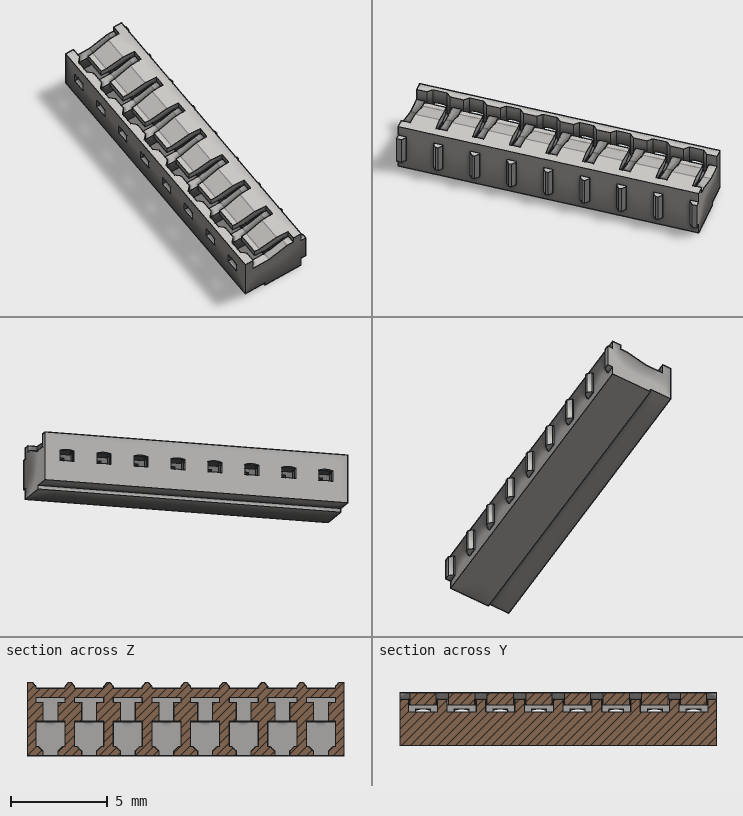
import cadquery as cq

length = 16.4
height = 2.75
circuits = 8
pitch = 2.0
end_margin = (length - circuits * pitch) / 2
rear_y = 3.51
foot_front_y = 1.23
foot_height = 0.2

wall_thickness = 0.5
recess_depth = 0.25
recess_floor_y = wall_thickness - recess_depth
recess_inner_width = 0.77
recess_outer_width = recess_inner_width + 2 * recess_depth

rib_width = 0.51
rib_rear_y = 3.02
rib_slope_rear_y = 2.62
rib_slope_front_y = 1.5
rib_rear_z = 2.41
rib_front_z = 2.07

cavity_width = pitch - rib_width
cavity_floor_z = 1.3
cavity_rear_y = 1.8
lip_front_y = 1.75
lip_top_z = 1.33
ledge_rear_y = 2.77
ledge_rear_z = rib_rear_z
ledge_front_z = 2.1

tongue_front_y = 1.0
tongue_front_z = 2.46
tongue_slope_front_y = 1.3
tongue_slope_rear_y = 2.33
tongue_rear_width = 1.41
tongue_front_width = 1.18

window_width = 0.75
window_bottom_z = cavity_floor_z
window_side_z = 1.84
window_crown_z = 1.9

slot_width = window_width
slot_bottom_z = 1.75
slot_top_z = window_crown_z

peg_width = rib_width
peg_tip_width = 0.15
peg_length = 0.3
peg_straight = 0.08
peg_bottom_z = 0.59
peg_top_z = 2.16


def side_prism(points, x_start, width):
    """Extrude a (Y, Z) outline along +X from x_start."""
    return cq.Workplane("YZ", origin=(x_start, 0, 0)).polyline(points).close().extrude(width)


def plan_prism(points, z_bottom, z_top):
    """Extrude an (X, Y) outline from z_bottom up to z_top."""
    return cq.Workplane("XY", origin=(0, 0, z_bottom)).polyline(points).close().extrude(z_top - z_bottom)


def centred_taper(x_centre, y_front, front_width, y_rear, rear_width):
    """Corners of a plan trapezoid symmetric about x_centre."""
    return [
        (x_centre - front_width / 2, y_front),
        (x_centre + front_width / 2, y_front),
        (x_centre + rear_width / 2, y_rear),
        (x_centre - rear_width / 2, y_rear),
    ]


def make_body():
    """Housing with its top cut down to rib level between the front and rear walls."""
    outline = [
        (0, foot_height),
        (foot_front_y, foot_height),
        (foot_front_y, 0),
        (rear_y, 0),
        (rear_y, height),
        (rib_rear_y, height),
        (rib_rear_y, rib_rear_z),
        (rib_slope_rear_y, rib_rear_z),
        (rib_slope_front_y, rib_front_z),
        (wall_thickness, rib_front_z),
        (wall_thickness, height),
        (0, height),
    ]
    return side_prism(outline, 0, length)


def make_cavity(x_centre):
    """Open cavity, ledge slope, well behind the ledge and front-wall recess of one circuit."""
    outline = [
        (wall_thickness, cavity_floor_z),
        (lip_front_y, cavity_floor_z),
        (lip_front_y, lip_top_z),
        (cavity_rear_y, lip_top_z),
        (cavity_rear_y, ledge_front_z),
        (ledge_rear_y, ledge_rear_z),
        (ledge_rear_y, slot_bottom_z),
        (rib_rear_y, slot_bottom_z),
        (rib_rear_y, height),
        (wall_thickness, height),
    ]
    cavity = side_prism(outline, x_centre - cavity_width / 2, cavity_width)
    recess_plan = centred_taper(
        x_centre,
        recess_floor_y,
        recess_inner_width,
        wall_thickness,
        recess_outer_width,
    )
    return cavity.union(plan_prism(recess_plan, cavity_floor_z, height))


def make_window(x_centre):
    """Arched window from the front face into the recess."""
    half_width = window_width / 2
    return (
        cq.Workplane("XZ", origin=(x_centre, 0, 0))
        .moveTo(-half_width, window_bottom_z)
        .lineTo(half_width, window_bottom_z)
        .lineTo(half_width, window_side_z)
        .threePointArc((0, window_crown_z), (-half_width, window_side_z))
        .close()
        .extrude(-recess_floor_y)
    )


def make_slot(x_centre):
    """Flat slot from the cavity through the ledge into the well."""
    outline = [
        (cavity_rear_y, slot_bottom_z),
        (rib_rear_y, slot_bottom_z),
        (rib_rear_y, slot_top_z),
        (cavity_rear_y, slot_top_z),
    ]
    return side_prism(outline, x_centre - slot_width / 2, slot_width)


def make_tongue(x_centre):
    """Tongue that slopes down and narrows from the rear wall toward the front."""
    outline = [
        (rib_rear_y, height),
        (tongue_slope_rear_y, height),
        (tongue_slope_front_y, tongue_front_z),
        (tongue_front_y, tongue_front_z),
        (tongue_front_y, ledge_front_z),
        (rib_rear_y, ledge_front_z),
    ]
    blank = side_prism(outline, x_centre - tongue_rear_width / 2, tongue_rear_width)
    plan = centred_taper(x_centre, tongue_front_y, tongue_front_width, rib_rear_y, tongue_rear_width)
    return blank.intersect(plan_prism(plan, 0, height))


def make_peg(x_centre):
    """Rear peg with a chamfered tip."""
    straight_y = rear_y + peg_straight
    base = plan_prism(
        centred_taper(x_centre, rear_y, peg_width, straight_y, peg_width), peg_bottom_z, peg_top_z
    )
    tip = plan_prism(
        centred_taper(x_centre, straight_y, peg_width, rear_y + peg_length, peg_tip_width),
        peg_bottom_z,
        peg_top_z,
    )
    return base.union(tip)


def make_end_block(x_start):
    """Square-cornered outer half of an end peg, between a housing end and the peg centre."""
    outline = [
        (rear_y, peg_bottom_z),
        (rear_y + peg_length, peg_bottom_z),
        (rear_y + peg_length, peg_top_z),
        (rear_y, peg_top_z),
    ]
    return side_prism(outline, x_start, end_margin)


result = make_body()

for circuit in range(circuits):
    circuit_x = end_margin + (circuit + 0.5) * pitch
    result = result.cut(make_cavity(circuit_x)).cut(make_window(circuit_x)).cut(make_slot(circuit_x))
    result = result.union(make_tongue(circuit_x))

end_limits = cq.Workplane("XY").box(length, rear_y + peg_length, height, centered=False)
for rib in range(circuits + 1):
    rib_x = end_margin + rib * pitch
    result = result.union(make_peg(rib_x).intersect(end_limits))

for block_x in (0, length - end_margin):
    result = result.union(make_end_block(block_x))